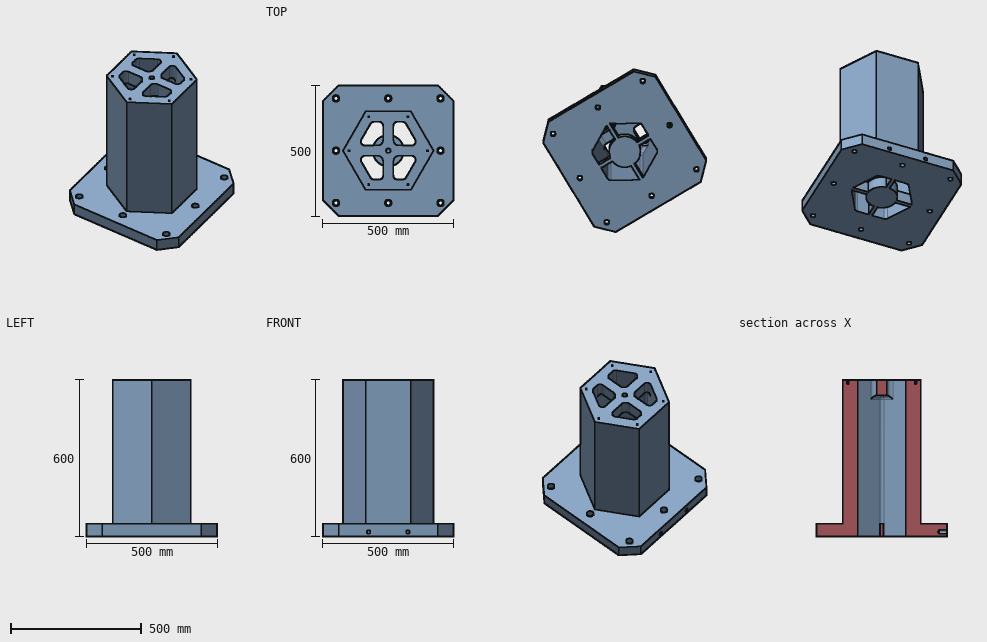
import cadquery as cq
import math

BASE_SIDE = 500.0
BASE_THICKNESS = 50.0
BASE_CORNER_CUT = 60.0

TOTAL_HEIGHT = 600.0
COLUMN_FLATS = 300.0
WALL_THICKNESS = 40.0
CAVITY_FLATS = COLUMN_FLATS - 2 * WALL_THICKNESS
CAVITY_RADIUS = 15.0

TOP_THICKNESS = 60.0
CROSS_WIDTH = 40.0
WINDOW_CORNER_RADIUS = 15.0
WINDOW_HUB_RADIUS = 20.0

HUB_DIAMETER = 120.0
ARM_WIDTH = 15.0

MOUNT_PITCH = 200.0
MOUNT_DIAMETER = 18.0
MOUNT_BORE_DIAMETER = 26.0
MOUNT_BORE_DEPTH = 30.0

DRILL_POINT_ANGLE = 118.0
CENTER_DIAMETER = 17.5
CENTER_DEPTH = 40.0
PIN_DIAMETER = 5.0
PIN_DEPTH = 15.0
PIN_CIRCLE_RADIUS = 150.0
PIN_COUNT = 6
SIDE_DIAMETER = 14.0
SIDE_DEPTH = 30.0
SIDE_SPACING = 150.0
SIDE_HEIGHT = 18.0


def hexagonal_prism(flats, bottom, top):
    """Hexagonal prism with two corners on the X axis, sized across its flats."""
    across_corners = flats / math.cos(math.pi / 6)
    return cq.Workplane("XY").workplane(offset=bottom).polygon(6, across_corners).extrude(top - bottom)


def drilled_hole(diameter, depth, mouth, direction):
    """Blind drilled hole with a conical end, to be cut from the part."""
    radius = diameter / 2
    point_length = radius / math.tan(math.radians(DRILL_POINT_ANGLE / 2))
    mouth = cq.Vector(*mouth)
    direction = cq.Vector(*direction)
    shank = cq.Solid.makeCylinder(radius, depth, mouth, direction)
    point = cq.Solid.makeCone(radius, 0, point_length, mouth + direction * depth, direction)
    return shank.fuse(point)


def base_plate():
    """Square plate with its four corners cut off."""
    plate = cq.Workplane("XY").rect(BASE_SIDE, BASE_SIDE).extrude(BASE_THICKNESS)
    return plate.edges("|Z").chamfer(BASE_CORNER_CUT)


def column_cavity():
    """Hexagonal hollow from the bottom up to the top plate, with rounded corners and ceiling edge."""
    cavity = hexagonal_prism(CAVITY_FLATS, 0, TOTAL_HEIGHT - TOP_THICKNESS)
    cavity = cavity.edges("|Z").fillet(CAVITY_RADIUS)
    return cavity.faces(">Z").edges().fillet(CAVITY_RADIUS)


def base_spider():
    """Round hub joined to the cavity walls by four arms, as tall as the base plate."""
    arm_length = CAVITY_FLATS + WALL_THICKNESS
    hub = cq.Workplane("XY").circle(HUB_DIAMETER / 2).extrude(BASE_THICKNESS)
    x_arm = cq.Workplane("XY").rect(arm_length, ARM_WIDTH).extrude(BASE_THICKNESS)
    y_arm = cq.Workplane("XY").rect(ARM_WIDTH, arm_length).extrude(BASE_THICKNESS)
    return hub.union(x_arm).union(y_arm)


def top_windows():
    """Four rounded openings beside the cross, reaching down past the rounded ceiling edge."""
    inner_edge = CROSS_WIDTH / 2
    outer_edge = CAVITY_FLATS / 2
    tip_x = (CAVITY_FLATS - inner_edge) / math.sqrt(3)
    shoulder_x = (CAVITY_FLATS - outer_edge) / math.sqrt(3)
    outline = [
        (inner_edge, inner_edge),
        (tip_x, inner_edge),
        (shoulder_x, outer_edge),
        (inner_edge, outer_edge),
    ]
    depth = TOP_THICKNESS + CAVITY_RADIUS
    level = cq.Workplane("XY").workplane(offset=TOTAL_HEIGHT - depth)
    window = level.polyline(outline).close().extrude(depth)
    for index, (x, y) in enumerate(outline):
        radius = WINDOW_HUB_RADIUS if index == 0 else WINDOW_CORNER_RADIUS
        corner = cq.selectors.NearestToPointSelector((x, y, TOTAL_HEIGHT - depth / 2))
        window = window.edges("|Z").edges(corner).fillet(radius)
    pair = window.union(window.mirror("YZ"))
    return pair.union(pair.mirror("XZ"))


def cut_mounting_holes(body):
    """Eight counterbored holes through the base plate."""
    steps = (-MOUNT_PITCH, 0, MOUNT_PITCH)
    places = [(x, y) for x in steps for y in steps if (x, y) != (0, 0)]
    holes = cq.Workplane("XY").pushPoints(places).circle(MOUNT_DIAMETER / 2).extrude(BASE_THICKNESS)
    bore_level = cq.Workplane("XY").workplane(offset=BASE_THICKNESS - MOUNT_BORE_DEPTH)
    bores = bore_level.pushPoints(places).circle(MOUNT_BORE_DIAMETER / 2).extrude(MOUNT_BORE_DEPTH)
    return body.cut(holes).cut(bores)


def cut_top_holes(body):
    """Central hole and the ring of small holes in the top face."""
    down = (0, 0, -1)
    body = body.cut(drilled_hole(CENTER_DIAMETER, CENTER_DEPTH, (0, 0, TOTAL_HEIGHT), down))
    for index in range(PIN_COUNT):
        angle = 2 * math.pi * index / PIN_COUNT
        x = PIN_CIRCLE_RADIUS * math.cos(angle)
        y = PIN_CIRCLE_RADIUS * math.sin(angle)
        body = body.cut(drilled_hole(PIN_DIAMETER, PIN_DEPTH, (x, y, TOTAL_HEIGHT), down))
    return body


def cut_side_holes(body):
    """Two horizontal holes in the -Y side of the base plate."""
    for x in (-SIDE_SPACING / 2, SIDE_SPACING / 2):
        mouth = (x, -BASE_SIDE / 2, SIDE_HEIGHT)
        body = body.cut(drilled_hole(SIDE_DIAMETER, SIDE_DEPTH, mouth, (0, 1, 0)))
    return body


result = base_plate().union(hexagonal_prism(COLUMN_FLATS, BASE_THICKNESS, TOTAL_HEIGHT))
result = result.cut(column_cavity())
result = result.union(base_spider())
result = result.cut(top_windows())
result = cut_mounting_holes(result)
result = cut_top_holes(result)
result = cut_side_holes(result)